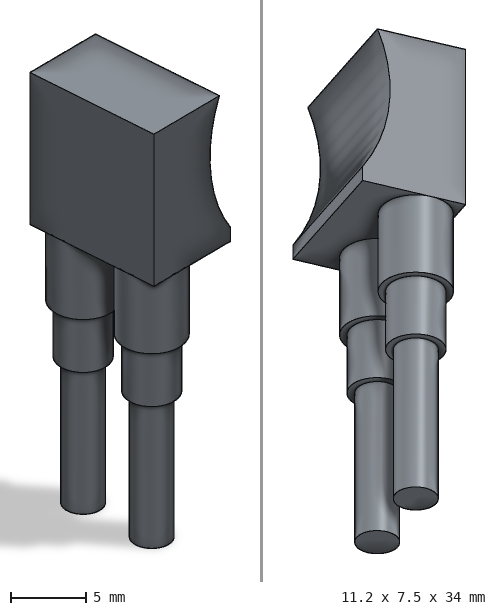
import cadquery as cq

block_width = 11.2
block_depth = 7.5
block_height = 12.0
top_depth = 6.43
waist_depth = 5.5
waist_height = 7.4
lip_height = 1.1

total_height = 34
collar_diameter = 5.0
collar_length = 6.0
shoulder_diameter = 4.0
shoulder_length = 4.5
pin_diameter = 3.0
pin_length = total_height - block_height - collar_length - shoulder_length

pin_x = (block_width - collar_diameter) / 2
pin_y = collar_diameter / 2


def make_block():
    """Block with a cylindrical hollow across its back face."""
    return (
        cq.Workplane("YZ", origin=(-block_width / 2, 0, 0))
        .lineTo(block_depth, 0)
        .lineTo(block_depth, lip_height)
        .threePointArc((waist_depth, waist_height), (top_depth, block_height))
        .lineTo(0, block_height)
        .close()
        .extrude(block_width)
    )


def make_stepped_pin(x):
    """Collar, shoulder and pin stacked downwards from the block."""
    return (
        cq.Workplane("XY", origin=(x, pin_y, 0))
        .circle(collar_diameter / 2)
        .extrude(-collar_length)
        .faces("<Z")
        .workplane()
        .circle(shoulder_diameter / 2)
        .extrude(shoulder_length)
        .faces("<Z")
        .workplane()
        .circle(pin_diameter / 2)
        .extrude(pin_length)
    )


result = make_block()
for x in (-pin_x, pin_x):
    result = result.union(make_stepped_pin(x))